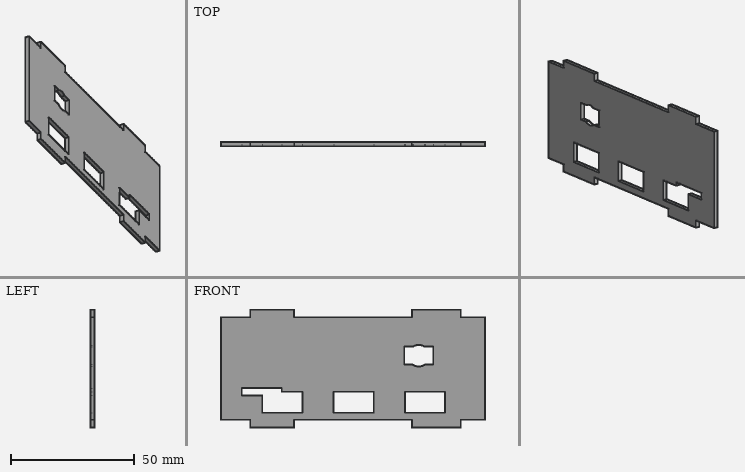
import cadquery as cq

plate_length = 106.5
plate_thickness = 1.8
overall_height = 47.6
tab_depth = 3.1
body_height = overall_height - 2 * tab_depth

tab_spans = [(11.7, 29.5), (77.0, 96.8)]

window_length = 16.1
window_height = 8.4
window_pitch = 28.8
window_count = 3
first_window_left = 16.7
window_sill = 2.9

slot_left = 8.4
slot_length = window_length
slot_height = 2.9
slot_sill = 9.9

arched_center_x = 79.8
arched_center_z = 26.0
arched_length = 11.6
arched_height = 7.1
arch_diameter = 8.6
arch_center_drop = 0.1

left_end = -plate_length / 2
body_bottom = -body_height / 2


def block(left, bottom, length, height):
    """Full-thickness block; left and bottom are measured from the lower left body corner."""
    return cq.Workplane("XY").box(length, plate_thickness, height).translate(
        (left_end + left + length / 2, 0, body_bottom + bottom + height / 2)
    )


def arched_cutter():
    """Cutter for the window with arched upper and lower sides."""
    rectangle = block(
        arched_center_x - arched_length / 2,
        arched_center_z - arched_height / 2,
        arched_length,
        arched_height,
    )
    disc = (
        cq.Workplane("XZ")
        .center(left_end + arched_center_x, body_bottom + arched_center_z - arch_center_drop)
        .circle(arch_diameter / 2)
        .extrude(plate_thickness / 2, both=True)
    )
    return rectangle.union(disc)


result = block(0, 0, plate_length, body_height)

for tab_left, tab_right in tab_spans:
    result = result.union(block(tab_left, -tab_depth, tab_right - tab_left, overall_height))

for index in range(window_count):
    window_left = first_window_left + index * window_pitch
    result = result.cut(block(window_left, window_sill, window_length, window_height))

result = result.cut(block(slot_left, slot_sill, slot_length, slot_height))
result = result.cut(arched_cutter())